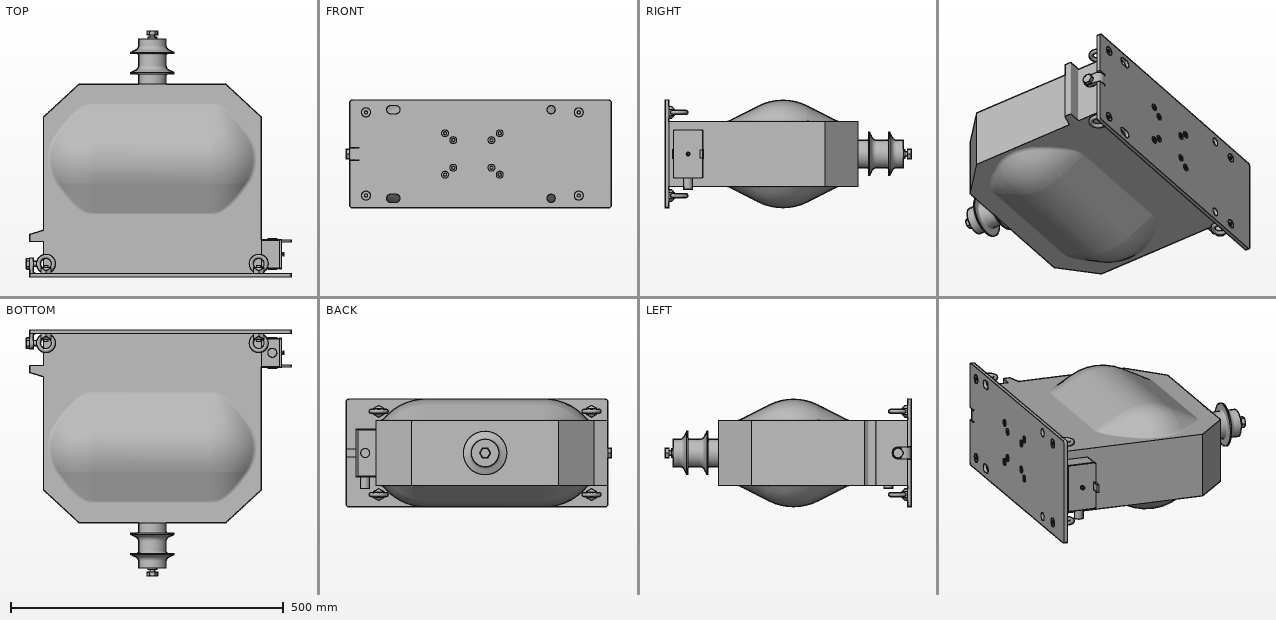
import cadquery as cq
import math


PLATE_LEFT = -225.0
PLATE_LENGTH = 480.0
PLATE_RIGHT = PLATE_LEFT + PLATE_LENGTH
PLATE_HEIGHT = 198.0
PLATE_THICK = 7.0
PLATE_CORNER_R = 5.5
MOUNT_Z = 81.0
MOUNT_DIA = 15.0
SLOT_X = -145.0
SLOT_LENGTH = 25.0
MOUNT_HOLE_X = 144.5

SCREW_RECESS = 1.0
SOCKET_R = 3.0
SOCKET_DEPTH = 3.0
SCREW_R = 6.5
SCREW_OUTER = (50.0, 38.0)
SCREW_INNER = (35.0, 25.5)

EYE_X = 195.0
EYE_Z = 76.5
EYE_SCREW_R = 8.5
EYE_CENTRE_Y = 24.5
EYE_RING_R = 13.5
EYE_WIRE_R = 4.0
EYE_HEX_FLATS = 19.0
EYE_HEX_H = 10.5
EYE_STRAIGHT_H = 5.0
EYE_NECK_HALF = 5.0
EYE_STUB_R = 4.0
EYE_STUB_H = 14.0

TAB_WIDTH = 21.5
TAB_BEND_R = 11.0
TAB_END_R = 10.0
TAB_SLIT = 1.5
TAB_SLIT_LENGTH = 17.0
EARTH_Y = 24.5
EARTH_HEAD_H = 6.5
EARTH_STUD_R = 5.0
EARTH_STUD_LENGTH = 8.0

HEX_FLATS = 17.5
HEX_BEVEL = 1.2

HOUSING_HALF_X = 200.0
HOUSING_TOP = 353.5
HOUSING_HALF_Z = 60.0
HOUSING_CHAMFER_X = 65.0
HOUSING_CHAMFER_Y = 60.5

RIB_BOTTOM = 65.0
RIB_TIP_TOP = 78.5
RIB_ROOT_TOP = 86.0
RIB_EDGE_R = 2.0
RIB_CORNER_R = 1.0

DRUM_Y = 216.0
DRUM_R = 98.5
DRUM_HALF_LENGTH = 109.5
DRUM_FLANK_ANGLE = 27.0
DRUM_ROOT_Z = 58.5
DRUM_FILLET = 7.0

INSET = 0.5

POST_R = 25.5
POST_TOP = 437.0
SHED_R = 40.0
SHED_NECK_R = 30.5
SHED_FEET = (369.5, 406.5)
SHED_UNDER = 3.0
SHED_UNDER_R = 3.0
SHED_RIM_TOP = 5.5
SHED_NECK = 9.5
SHED_TOP = 17.0
SHED_ROOT_R = 9.0
WASHER_R = 8.5
WASHER_TOP = 439.5
TERMINAL_STUD_R = 4.5
TERMINAL_HEAD_BASE = 444.0
TERMINAL_TOP = 451.5

BOX_BOTTOM = 15.5
BOX_TOP = 68.5
BOX_MID_Y = (BOX_BOTTOM + BOX_TOP) / 2
BOX_HALF_Z = 44.0
BOX_LID_X = 233.5
BOX_OUTER_X = 237.0
BOX_EDGE = 1.5
BOX_LID_OVERHANG = 0.5
KNOCKOUT_X = 220.0
KNOCKOUT_R = 8.5
KNOCKOUT_H = 2.0
GLAND_BOTTOM = -64.5
KNOB_R = 3.5
KNOB_WAIST_R = 2.0
KNOB_LENGTH = 5.0
KNOB_FLANGE = 1.0
STRAP_THICK = 4.0
STRAP_WIDTH = 14.5
STRAP_Y = 66.0


def cylinder(radius, height, start, direction):
    return cq.Workplane(obj=cq.Solid.makeCylinder(radius, height, cq.Vector(*start), cq.Vector(*direction)))


def box(x_range, y_range, z_range):
    size = [high - low for low, high in (x_range, y_range, z_range)]
    corner = cq.Vector(x_range[0], y_range[0], z_range[0])
    return cq.Workplane(obj=cq.Solid.makeBox(*size, corner))


def hex_head(start, direction, x_direction, height):
    """Hexagon head with a corner along x_direction and a bevelled outer end."""
    plane = cq.Plane(origin=start, xDir=x_direction, normal=direction)
    across_corners = HEX_FLATS / math.cos(math.pi / 6)
    outer_end = cq.selectors.DirectionMinMaxSelector(cq.Vector(*direction), True)
    bevel = cq.Workplane(plane).circle(across_corners / 2).extrude(height).faces(outer_end).chamfer(HEX_BEVEL)
    return cq.Workplane(plane).polygon(6, across_corners).extrude(height).intersect(bevel)


def screw_recess(x, z, radius):
    """Shallow round recess with a socket in its middle, cut into the outer face of the plate."""
    recess = cylinder(radius, SCREW_RECESS, (x, 0, z), (0, 1, 0))
    return recess.union(cylinder(SOCKET_R, SOCKET_DEPTH, (x, 0, z), (0, 1, 0)))


def eyebolt(x, z):
    across_corners = EYE_HEX_FLATS / math.cos(math.pi / 6)
    wide = across_corners / 2
    hex_plane = cq.Plane(origin=(x, PLATE_THICK, z), xDir=(0, 0, 1), normal=(0, 1, 0))
    hexagon = cq.Workplane(hex_plane).polygon(6, across_corners).extrude(EYE_HEX_H)
    taper_plane = cq.Plane(origin=(x, PLATE_THICK, z), xDir=(0, 0, 1), normal=(-1, 0, 0))
    taper = (
        cq.Workplane(taper_plane)
        .polyline([
            (-wide, 0),
            (wide, 0),
            (wide, EYE_STRAIGHT_H),
            (EYE_NECK_HALF, EYE_HEX_H),
            (-EYE_NECK_HALF, EYE_HEX_H),
            (-wide, EYE_STRAIGHT_H),
        ])
        .close()
        .extrude(wide, both=True)
    )
    stub = cylinder(EYE_STUB_R, EYE_STUB_H, (x, PLATE_THICK, z), (0, 1, 0))
    ring = cq.Workplane(obj=cq.Solid.makeTorus(
        EYE_RING_R, EYE_WIRE_R, cq.Vector(x, EYE_CENTRE_Y, z), cq.Vector(0, 0, 1)))
    return hexagon.intersect(taper).union(stub).union(ring)


def earthing_tab():
    """Strip that turns up from the plate edge, with a rounded end and the earthing screw."""
    half = TAB_WIDTH / 2
    bend_inner = TAB_BEND_R - PLATE_THICK
    left = PLATE_LEFT
    strip_top = EARTH_Y + half
    centre = (left + TAB_BEND_R, TAB_BEND_R)
    outer_mid = TAB_BEND_R - TAB_BEND_R * math.sqrt(0.5)
    inner_mid = TAB_BEND_R - bend_inner * math.sqrt(0.5)
    strip = (
        cq.Workplane("XY", origin=(0, 0, -half))
        .moveTo(left + TAB_SLIT_LENGTH, 0)
        .lineTo(centre[0], 0)
        .threePointArc((left + outer_mid, outer_mid), (left, centre[1]))
        .lineTo(left, strip_top)
        .lineTo(left + PLATE_THICK, strip_top)
        .lineTo(left + PLATE_THICK, centre[1])
        .threePointArc((left + inner_mid, inner_mid), (centre[0], PLATE_THICK))
        .lineTo(left + TAB_SLIT_LENGTH, PLATE_THICK)
        .close()
        .extrude(TAB_WIDTH)
    )
    strip = strip.edges("|X and >Y").fillet(TAB_END_R)
    head = hex_head((left, EARTH_Y, 0), (-1, 0, 0), (0, 1, 0), EARTH_HEAD_H)
    stud = cylinder(EARTH_STUD_R, PLATE_THICK + EARTH_STUD_LENGTH, (left, EARTH_Y, 0), (1, 0, 0))
    return strip.union(head).union(stud)


def make_base_plate():
    half_z = PLATE_HEIGHT / 2
    plate = box((PLATE_LEFT, PLATE_RIGHT), (0, PLATE_THICK), (-half_z, half_z))
    plate = plate.edges("|Y").fillet(PLATE_CORNER_R)

    through = cq.Workplane("XZ").pushPoints([(SLOT_X, MOUNT_Z), (SLOT_X, -MOUNT_Z)])
    plate = plate.cut(through.slot2D(SLOT_LENGTH, MOUNT_DIA).extrude(-PLATE_THICK))
    for z in (MOUNT_Z, -MOUNT_Z):
        plate = plate.cut(cylinder(MOUNT_DIA / 2, PLATE_THICK, (MOUNT_HOLE_X, 0, z), (0, 1, 0)))

    gap_half = TAB_WIDTH / 2 + TAB_SLIT
    plate = plate.cut(
        box((PLATE_LEFT, PLATE_LEFT + TAB_SLIT_LENGTH), (0, PLATE_THICK), (-gap_half, gap_half)))
    plate = plate.union(earthing_tab())

    for side_x in (-1, 1):
        for side_z in (-1, 1):
            for x, z in (SCREW_OUTER, SCREW_INNER):
                plate = plate.cut(screw_recess(side_x * x, side_z * z, SCREW_R))
            plate = plate.cut(screw_recess(side_x * EYE_X, side_z * EYE_Z, EYE_SCREW_R))
            plate = plate.union(eyebolt(side_x * EYE_X, side_z * EYE_Z))
    return plate


def drum_section():
    """Outline of the drum across its length, as (y, z) from its axis."""
    slope = math.radians(DRUM_FLANK_ANGLE)
    tangent_y = DRUM_R * math.sin(slope)
    tangent_z = DRUM_R * math.cos(slope)
    root_y = tangent_y + (tangent_z - DRUM_ROOT_Z) / math.tan(slope)
    return (
        cq.Workplane("YZ", origin=(0, DRUM_Y, 0))
        .moveTo(-root_y, 0)
        .lineTo(-root_y, DRUM_ROOT_Z)
        .lineTo(-tangent_y, tangent_z)
        .threePointArc((0, DRUM_R), (tangent_y, tangent_z))
        .lineTo(root_y, DRUM_ROOT_Z)
        .lineTo(root_y, 0)
        .close()
    )


def make_drum():
    """The two bulges: the drum without the core that lies inside the housing."""
    upper = drum_section().extrude(DRUM_HALF_LENGTH, both=True)
    drum = upper.union(upper.mirror("XY"))
    for side in (-1, 1):
        end = drum_section().revolve(360, (0, 0), (1, 0)).translate((side * DRUM_HALF_LENGTH, 0, 0))
        drum = drum.union(end)
    reach = HOUSING_HALF_X + DRUM_R
    core = box((-reach, reach), (0, HOUSING_TOP), (-DRUM_ROOT_Z, DRUM_ROOT_Z))
    return drum.cut(core)


def make_shed(foot):
    neck = (SHED_NECK_R, foot + SHED_NECK)
    top = (POST_R, foot + SHED_TOP)
    under_y = foot + SHED_UNDER
    return (
        cq.Workplane("XY")
        .moveTo(0, foot)
        .lineTo(POST_R, foot)
        .radiusArc((POST_R + SHED_UNDER_R, under_y), SHED_UNDER_R)
        .lineTo(SHED_R, under_y)
        .lineTo(SHED_R, foot + SHED_RIM_TOP)
        .lineTo(*neck)
        .radiusArc(top, SHED_ROOT_R)
        .lineTo(0, foot + SHED_TOP)
        .close()
        .revolve(360, (0, 0), (0, 1))
    )


def make_insulator():
    up = (0, 1, 0)
    post = cylinder(POST_R, POST_TOP - HOUSING_TOP, (0, HOUSING_TOP, 0), up)
    for foot in SHED_FEET:
        post = post.union(make_shed(foot))
    post = post.union(cylinder(WASHER_R, WASHER_TOP - POST_TOP, (0, POST_TOP, 0), up))
    post = post.union(cylinder(TERMINAL_STUD_R, TERMINAL_HEAD_BASE - POST_TOP, (0, POST_TOP, 0), up))
    head_height = TERMINAL_TOP - TERMINAL_HEAD_BASE
    return post.union(hex_head((0, TERMINAL_HEAD_BASE, 0), up, (1, 0, 0), head_height))


def make_rib():
    rib = (
        cq.Workplane("XY", origin=(0, 0, -HOUSING_HALF_Z))
        .polyline([
            (-HOUSING_HALF_X, RIB_BOTTOM),
            (PLATE_LEFT, RIB_BOTTOM),
            (PLATE_LEFT, RIB_TIP_TOP),
            (-HOUSING_HALF_X, RIB_ROOT_TOP),
        ])
        .close()
        .extrude(2 * HOUSING_HALF_Z)
    )
    return rib.edges("|Z and <X").fillet(RIB_EDGE_R)


def make_housing():
    shoulder_x = HOUSING_HALF_X - HOUSING_CHAMFER_X
    shoulder_y = HOUSING_TOP - HOUSING_CHAMFER_Y
    body = (
        cq.Workplane("XY", origin=(0, 0, -HOUSING_HALF_Z))
        .polyline([
            (-HOUSING_HALF_X, PLATE_THICK),
            (HOUSING_HALF_X, PLATE_THICK),
            (HOUSING_HALF_X, shoulder_y),
            (shoulder_x, HOUSING_TOP),
            (-shoulder_x, HOUSING_TOP),
            (-HOUSING_HALF_X, shoulder_y),
        ])
        .close()
        .extrude(2 * HOUSING_HALF_Z)
    )
    body = body.union(make_drum())

    reach_y = HOUSING_TOP - DRUM_Y - INSET
    for z in (-HOUSING_HALF_Z, HOUSING_HALF_Z):
        around_root = cq.selectors.BoxSelector(
            (-HOUSING_HALF_X + INSET, DRUM_Y - reach_y, z - INSET),
            (HOUSING_HALF_X - INSET, DRUM_Y + reach_y, z + INSET),
            boundingbox=True,
        )
        body = body.edges(around_root).fillet(DRUM_FILLET)
    body = body.union(make_rib())
    rib_corner = cq.selectors.NearestToPointSelector((-HOUSING_HALF_X, RIB_BOTTOM, 0))
    body = body.edges("|Z").edges(rib_corner).fillet(RIB_CORNER_R)
    return body.union(make_insulator())


def make_terminal_box():
    shell = box(
        (HOUSING_HALF_X, BOX_LID_X), (BOX_BOTTOM, BOX_TOP), (-BOX_HALF_Z, BOX_HALF_Z)
    ).edges("|X").chamfer(BOX_EDGE)
    over = BOX_LID_OVERHANG
    lid = box(
        (BOX_LID_X, BOX_OUTER_X),
        (BOX_BOTTOM - over, BOX_TOP + over),
        (-BOX_HALF_Z - over, BOX_HALF_Z + over),
    ).edges("|X").chamfer(BOX_EDGE)
    shell = shell.union(lid)

    shell = shell.union(cylinder(KNOCKOUT_R, KNOCKOUT_H, (KNOCKOUT_X, BOX_TOP, 0), (0, 1, 0)))
    shell = shell.union(cylinder(KNOCKOUT_R, KNOCKOUT_H, (KNOCKOUT_X, BOX_BOTTOM, 0), (0, -1, 0)))
    gland_height = -BOX_HALF_Z - GLAND_BOTTOM
    shell = shell.union(cylinder(KNOCKOUT_R, gland_height, (KNOCKOUT_X, BOX_MID_Y, -BOX_HALF_Z), (0, 0, -1)))

    outward = (1, 0, 0)
    shell = shell.union(cylinder(KNOB_WAIST_R, KNOB_LENGTH, (BOX_OUTER_X, BOX_MID_Y, 0), outward))
    for offset in (0, KNOB_LENGTH - KNOB_FLANGE):
        shell = shell.union(cylinder(KNOB_R, KNOB_FLANGE, (BOX_OUTER_X + offset, BOX_MID_Y, 0), outward))

    strap = box(
        (BOX_OUTER_X, PLATE_RIGHT),
        (STRAP_Y - STRAP_THICK / 2, STRAP_Y + STRAP_THICK / 2),
        (-STRAP_WIDTH / 2, STRAP_WIDTH / 2),
    )
    return shell.union(strap)


base_plate = make_base_plate().solids()
housing = make_housing().solids()
terminal_box = make_terminal_box().solids()

result = cq.Compound.makeCompound([base_plate.val(), housing.val(), terminal_box.val()])